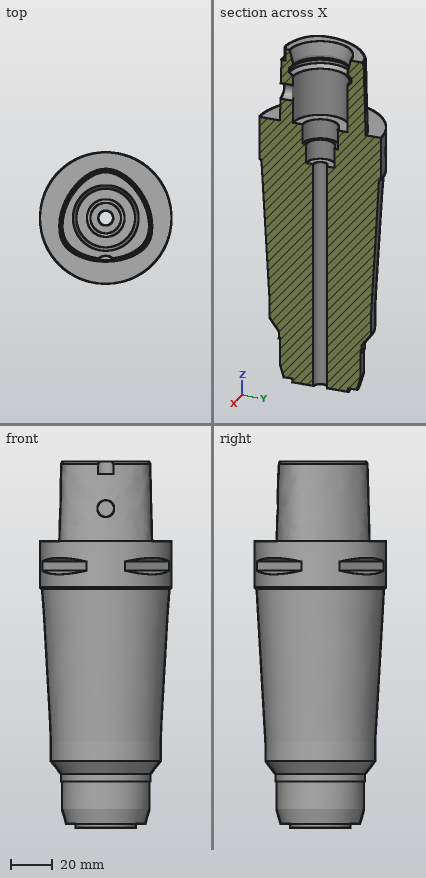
import cadquery as cq
import math


SHANK_LENGTH = 38.0
SHANK_BASE_WIDTH = 44.5
SHANK_TAPER = 1 / 20
LOBE_RATIO = 0.030
RIM_CHAMFER_HEIGHT = 1.2
RIM_CHAMFER_INSET = 0.7
LOBE_DIRECTION = math.pi / 2
TRILOBE_POINTS = 36

FLANGE_DIAMETER = 63.0
FLANGE_BOTTOM = -22.0
FLANGE_CHAMFER = 1.0
BODY_TOP_DIAMETER = FLANGE_DIAMETER - 2 * FLANGE_CHAMFER
BODY_BOTTOM_DIAMETER = 52.6
BODY_CONE_BOTTOM = -96.0
BODY_BOTTOM = -105.0
COLLAR_DIAMETER = 43.0
COLLAR_TOP = -111.3
COLLAR_BOTTOM = -115.0
NOSE_DIAMETER = 42.0
NOSE_CONE_TOP = -128.2
NOSE_END_DIAMETER = 38.0
NOSE_END = -135.1
TIP_DIAMETER = 29.0
TIP_END = -137.0

MOUTH_DIAMETER = 31.4
BORE_DIAMETER = 28.0
MOUTH_CONE_DEPTH = 6.5
GROOVE_DIAMETER = 32.0
GROOVE_TOP_DEPTH = 7.9
GROOVE_BOTTOM_DEPTH = 13.7
BORE_DEPTH = 38.0
STEP_DIAMETER = 18.0
STEP_DEPTH = 48.0
INNER_DIAMETER = 14.6
INNER_DEPTH = 58.0
THROUGH_DIAMETER = 7.0

KEYWAY_DIAMETER = 9.0
KEYWAY_AXIS_Y = -22.5
KEYWAY_DEPTH = 6.0
SIDE_HOLE_DIAMETER = 8.0
SIDE_HOLE_Z = 15.5
SIDE_HOLE_FLOOR_Y = -14.5

SLOT_COUNT = 4
SLOT_FIRST_ANGLE = 45.0
SLOT_Z = -12.0
SLOT_FLOOR_DISTANCE = 27.75
SLOT_FLOOR_HEIGHT = 4.2
SLOT_MOUTH_HEIGHT = 7.9

CUT_MARGIN = 1.0


def trilobe_wire(z, width):
    """Constant-width trilobe with the support function width / 2 + lobe * cos(3 * angle)."""
    lobe = LOBE_RATIO * width
    points = []
    for index in range(TRILOBE_POINTS):
        angle = LOBE_DIRECTION + math.pi + 2 * math.pi * index / TRILOBE_POINTS
        lobe_angle = 3 * (angle - LOBE_DIRECTION)
        support = width / 2 + lobe * math.cos(lobe_angle)
        slope = -3 * lobe * math.sin(lobe_angle)
        x = support * math.cos(angle) - slope * math.sin(angle)
        y = support * math.sin(angle) + slope * math.cos(angle)
        points.append(cq.Vector(x, y, z))
    outline = cq.Edge.makeSpline(points, periodic=True)
    return cq.Wire.assembleEdges([outline])


def shank_width(z):
    return SHANK_BASE_WIDTH - SHANK_TAPER * z


def make_shank():
    chamfer_z = SHANK_LENGTH - RIM_CHAMFER_HEIGHT
    base = trilobe_wire(0, shank_width(0))
    shoulder = trilobe_wire(chamfer_z, shank_width(chamfer_z))
    rim = trilobe_wire(SHANK_LENGTH, shank_width(chamfer_z) - 2 * RIM_CHAMFER_INSET)
    return cq.Workplane(cq.Solid.makeLoft([base, shoulder, rim], True))


def turned(sections):
    """Solid of revolution about Z through (diameter, z) sections listed along the axis."""
    outline = [(-diameter / 2, z) for diameter, z in sections]
    first_z = sections[0][1]
    last_z = sections[-1][1]
    return (
        cq.Workplane("YZ")
        .polyline([(0, first_z)] + outline + [(0, last_z)])
        .close()
        .revolve(360, (0, 0, 0), (0, 1, 0))
    )


def make_body():
    return turned([
        (FLANGE_DIAMETER, 0),
        (FLANGE_DIAMETER, FLANGE_BOTTOM),
        (BODY_TOP_DIAMETER, FLANGE_BOTTOM - FLANGE_CHAMFER),
        (BODY_BOTTOM_DIAMETER, BODY_CONE_BOTTOM),
        (BODY_BOTTOM_DIAMETER, BODY_BOTTOM),
        (COLLAR_DIAMETER, COLLAR_TOP),
        (COLLAR_DIAMETER, COLLAR_BOTTOM),
        (NOSE_DIAMETER, COLLAR_BOTTOM),
        (NOSE_DIAMETER, NOSE_CONE_TOP),
        (NOSE_END_DIAMETER, NOSE_END),
        (TIP_DIAMETER, NOSE_END),
        (TIP_DIAMETER, TIP_END),
    ])


def make_bore():
    top = SHANK_LENGTH
    flare = (GROOVE_DIAMETER - BORE_DIAMETER) / 2
    return turned([
        (MOUTH_DIAMETER, top),
        (BORE_DIAMETER, top - MOUTH_CONE_DEPTH),
        (BORE_DIAMETER, top - GROOVE_TOP_DEPTH),
        (GROOVE_DIAMETER, top - GROOVE_TOP_DEPTH - flare),
        (GROOVE_DIAMETER, top - GROOVE_BOTTOM_DEPTH + flare),
        (BORE_DIAMETER, top - GROOVE_BOTTOM_DEPTH),
        (BORE_DIAMETER, top - BORE_DEPTH),
        (STEP_DIAMETER, top - BORE_DEPTH),
        (STEP_DIAMETER, top - STEP_DEPTH),
        (INNER_DIAMETER, top - STEP_DEPTH),
        (INNER_DIAMETER, top - INNER_DEPTH),
        (THROUGH_DIAMETER, top - INNER_DEPTH),
        (THROUGH_DIAMETER, TIP_END - CUT_MARGIN),
    ])


def make_keyway():
    return (
        cq.Workplane("XY", origin=(0, KEYWAY_AXIS_Y, SHANK_LENGTH - KEYWAY_DEPTH))
        .circle(KEYWAY_DIAMETER / 2)
        .extrude(KEYWAY_DEPTH + CUT_MARGIN)
    )


def make_side_hole():
    return (
        cq.Workplane("XZ", origin=(0, SIDE_HOLE_FLOOR_Y, SIDE_HOLE_Z))
        .circle(SIDE_HOLE_DIAMETER / 2)
        .extrude(SHANK_BASE_WIDTH / 2)
    )


def make_gripper_slot(angle):
    """Straight slot across the flange, with a flat floor and sides that open outwards."""
    mouth_distance = FLANGE_DIAMETER / 2
    half_floor = SLOT_FLOOR_HEIGHT / 2
    half_mouth = SLOT_MOUTH_HEIGHT / 2
    section = [
        (SLOT_FLOOR_DISTANCE, SLOT_Z - half_floor),
        (mouth_distance, SLOT_Z - half_mouth),
        (mouth_distance, SLOT_Z + half_mouth),
        (SLOT_FLOOR_DISTANCE, SLOT_Z + half_floor),
    ]
    slot = cq.Workplane("XZ").polyline(section).close().extrude(FLANGE_DIAMETER / 2, both=True)
    return slot.rotate((0, 0, 0), (0, 0, 1), angle)


result = make_body().union(make_shank()).cut(make_bore())
result = result.cut(make_keyway()).cut(make_side_hole())
for index in range(SLOT_COUNT):
    result = result.cut(make_gripper_slot(SLOT_FIRST_ANGLE + index * 360 / SLOT_COUNT))